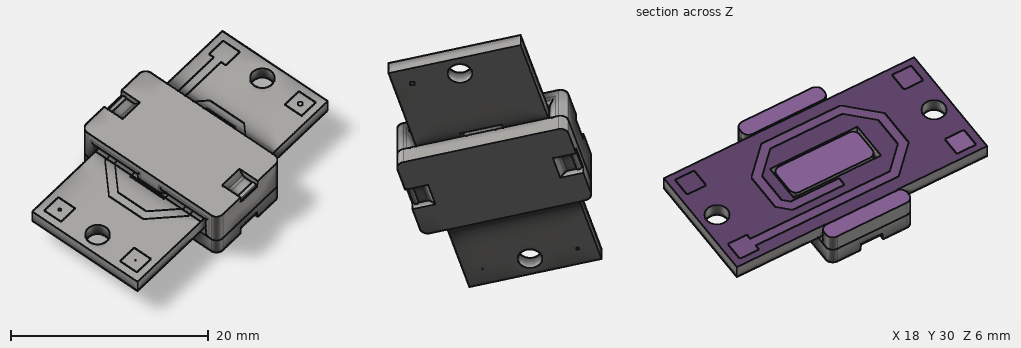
import cadquery as cq
import math

CORE_LENGTH = 18.0
CORE_DEPTH = 10.0
CORE_HEIGHT = 6.0
CORE_CENTRE_Y = 0.1
PARTING_Z = 2.0
EDGE_RADIUS = 0.85

CENTRE_LEG_HALF = 2.0
WINDOW_OUTER = 7.02
CEILING_Z = 4.02
MOUTH_TOP_Z = 5.2
MOUTH_DRAFT = 6.0

RECESS_WIDTH = 2.73
RECESS_FLOOR_WIDTH = 2.55
RECESS_LENGTH = 2.43
RECESS_DEPTH = 0.72
RECESS_WALL_RUN = 0.48
RECESS_WALL_DROP = 0.57
RECESS_FILLET_RUN = 0.27
LIP_START = 0.7
LIP_END = 0.27
LIP_HEIGHT = 0.15
LEDGE_WIDTH = 0.12
LEDGE_DEPTH = 0.85

BOARD_WIDTH = 13.92
BOARD_LENGTH = 30.0
BOARD_X = -0.05
BOARD_BOTTOM_Z = 2.4
BOARD_TOP_Z = 3.95
SLOT_WIDTH = 4.45
SLOT_LENGTH = 10.4
MOUNTING_DIAMETER = 2.5
TERMINAL_Y = 13.0

FILM_LENGTH = 10.05

COPPER_THICKNESS = 0.05
COPPER_BOTTOM_Z = BOARD_TOP_Z - COPPER_THICKNESS
COPPER_MIDDLE_Z = BOARD_TOP_Z - COPPER_THICKNESS / 2
PAD_X = 5.0
PAD_SIZE = 2.22
VIA_PADS = [(PAD_X, TERMINAL_Y, 0.5), (-PAD_X, -TERMINAL_Y, 0.3), (PAD_X, -TERMINAL_Y, 0.08)]
TRACK_WIDTH = 0.95
COIL_FRONT_Y = -8.0
COIL_BACK_Y = 6.93
COIL_FRONT_HALF = 2.07
COIL_BACK_HALF = 2.07
COIL_INNER_X = -3.03
COIL_INNER_END_Y = 0.0


def box(x_size, y_size, z_bottom, z_top, x=0.0, y=0.0):
    """Box centred on (x, y) between two heights."""
    height = z_top - z_bottom
    return cq.Workplane("XY").box(x_size, y_size, height, centered=(True, True, False)).translate(
        (x, y, z_bottom)
    )


def cylinder(diameter, z_bottom, z_top, x, y):
    """Upright cylinder between two heights."""
    return cq.Workplane("XY", origin=(x, y, z_bottom)).circle(diameter / 2).extrude(z_top - z_bottom)


def core_block(z_bottom, z_top):
    """Rounded block of the core footprint, centred on the origin in X and Y."""
    return box(CORE_LENGTH, CORE_DEPTH, z_bottom, z_top).edges("|Z").fillet(EDGE_RADIUS)


def window():
    """Void right of the centre leg, with rounded mouths at the front and back faces."""
    front = -CORE_DEPTH / 2
    radius = EDGE_RADIUS
    diagonal = radius * math.sqrt(0.5)
    inner_mouth = CENTRE_LEG_HALF - radius
    outer_mouth = WINDOW_OUTER + radius

    plan = (
        cq.Workplane("XY", origin=(0, 0, PARTING_Z))
        .moveTo(inner_mouth, front)
        .threePointArc(
            (inner_mouth + diagonal, front + radius - diagonal), (CENTRE_LEG_HALF, front + radius)
        )
        .lineTo(CENTRE_LEG_HALF, -front - radius)
        .threePointArc((inner_mouth + diagonal, -front - radius + diagonal), (inner_mouth, -front))
        .lineTo(outer_mouth, -front)
        .threePointArc(
            (outer_mouth - diagonal, -front - radius + diagonal), (WINDOW_OUTER, -front - radius)
        )
        .lineTo(WINDOW_OUTER, front + radius)
        .threePointArc((outer_mouth - diagonal, front + radius - diagonal), (outer_mouth, front))
        .close()
        .extrude(CORE_HEIGHT)
    )

    draft = math.radians(MOUTH_DRAFT)
    middle = (draft + math.pi / 2) / 2
    axis_z = CEILING_Z + radius
    strip_bottom_z = axis_z - radius * math.sin(draft)
    strip_run = (MOUTH_TOP_Z - strip_bottom_z) * math.tan(draft)
    axis_y = front + strip_run + radius * math.cos(draft)
    middle_y = axis_y - radius * math.cos(middle)
    middle_z = axis_z - radius * math.sin(middle)
    section = (
        cq.Workplane("YZ")
        .moveTo(front, PARTING_Z)
        .lineTo(front, MOUTH_TOP_Z)
        .lineTo(front + strip_run, strip_bottom_z)
        .threePointArc((middle_y, middle_z), (axis_y, CEILING_Z))
        .lineTo(-axis_y, CEILING_Z)
        .threePointArc((-middle_y, middle_z), (-front - strip_run, strip_bottom_z))
        .lineTo(-front, MOUTH_TOP_Z)
        .lineTo(-front, PARTING_Z)
        .close()
        .extrude(CORE_LENGTH / 2)
    )
    return plan.intersect(section)


def clip_recess():
    """Void for a clip in the top edge of the +X core end."""
    end = CORE_LENGTH / 2
    top = CORE_HEIGHT
    floor_z = top - RECESS_DEPTH
    wall_top_x = end - RECESS_LENGTH
    wall_foot_x = wall_top_x + RECESS_WALL_RUN
    wall_foot_z = top - RECESS_WALL_DROP
    profile = (
        cq.Workplane("XZ")
        .moveTo(wall_top_x, top)
        .lineTo(wall_foot_x, wall_foot_z)
        .tangentArcPoint((wall_foot_x + RECESS_FILLET_RUN, floor_z), relative=False)
        .lineTo(end - LIP_START, floor_z)
        .threePointArc(
            (end - (LIP_START + LIP_END) / 2, floor_z + LIP_HEIGHT),
            (end - LIP_END, floor_z + LIP_HEIGHT / 2),
        )
        .lineTo(end - LEDGE_WIDTH, top - LEDGE_DEPTH)
        .lineTo(end, top - LEDGE_DEPTH)
        .lineTo(end, top)
        .close()
        .extrude(RECESS_WIDTH / 2, both=True)
    )
    tapered = (
        cq.Workplane("YZ")
        .polyline(
            [
                (-RECESS_WIDTH / 2, top),
                (RECESS_WIDTH / 2, top),
                (RECESS_FLOOR_WIDTH / 2, top - LEDGE_DEPTH),
                (-RECESS_FLOOR_WIDTH / 2, top - LEDGE_DEPTH),
            ]
        )
        .close()
        .extrude(end)
    )
    return profile.intersect(tapered)


def upper_core():
    """E-shaped half: three legs pointing down and a clip recess at each end."""
    core = core_block(PARTING_Z, CORE_HEIGHT)
    for void in (window(), clip_recess()):
        core = core.cut(void).cut(void.mirror("YZ"))
    return core.translate((0, CORE_CENTRE_Y, 0))


def lower_core():
    """Flat half with clip recesses in its underside."""
    core = core_block(0, PARTING_Z)
    recess = clip_recess().mirror("XY").translate((0, 0, CORE_HEIGHT))
    core = core.cut(recess).cut(recess.mirror("YZ"))
    return core.translate((0, CORE_CENTRE_Y, 0))


def pad_plate(x, y):
    """Square copper pad flush with the top of the board."""
    return box(PAD_SIZE, PAD_SIZE, COPPER_BOTTOM_Z, BOARD_TOP_Z, x, y)


def terminal_pad(x, y, via_diameter):
    """Pad with a via that runs down through the board."""
    return pad_plate(x, y).union(cylinder(via_diameter, BOARD_BOTTOM_Z, BOARD_TOP_Z, x, y))


def coil_track():
    """Pad and the spiral track that winds from it around the centre leg."""
    front_chamfer = PAD_X - COIL_FRONT_HALF
    back_chamfer = PAD_X - COIL_BACK_HALF
    inner_chamfer = -COIL_BACK_HALF - COIL_INNER_X
    centre_line = [
        (-PAD_X, TERMINAL_Y),
        (-PAD_X, COIL_FRONT_Y + front_chamfer),
        (-COIL_FRONT_HALF, COIL_FRONT_Y),
        (COIL_FRONT_HALF, COIL_FRONT_Y),
        (PAD_X, COIL_FRONT_Y + front_chamfer),
        (PAD_X, COIL_BACK_Y - back_chamfer),
        (COIL_BACK_HALF, COIL_BACK_Y),
        (-COIL_BACK_HALF, COIL_BACK_Y),
        (COIL_INNER_X, COIL_BACK_Y - inner_chamfer),
        (COIL_INNER_X, COIL_INNER_END_Y),
    ]
    start_section = cq.Workplane("XZ", origin=(-PAD_X, TERMINAL_Y, COPPER_MIDDLE_Z))
    track = start_section.rect(TRACK_WIDTH, COPPER_THICKNESS).sweep(
        cq.Workplane("XY", origin=(0, 0, COPPER_MIDDLE_Z)).polyline(centre_line),
        transition="right",
    )
    return track.union(pad_plate(-PAD_X, TERMINAL_Y))


def bare_board():
    """Board with the slot for the centre leg and both mounting holes."""
    board = box(BOARD_WIDTH, BOARD_LENGTH, BOARD_BOTTOM_Z, BOARD_TOP_Z)
    board = board.cut(box(SLOT_WIDTH, SLOT_LENGTH, BOARD_BOTTOM_Z, BOARD_TOP_Z))
    for y in (-TERMINAL_Y, TERMINAL_Y):
        board = board.cut(cylinder(MOUNTING_DIAMETER, BOARD_BOTTOM_Z, BOARD_TOP_Z, 0, y))
    return board


def insulating_film():
    """Plain sheet that covers the board inside the core."""
    return box(BOARD_WIDTH, FILM_LENGTH, BOARD_TOP_Z, CEILING_Z)


core_top = upper_core()
core_bottom = lower_core()

coil = coil_track()
pads = [terminal_pad(x, y, via_diameter) for x, y, via_diameter in VIA_PADS]
board = bare_board().cut(coil)
for pad in pads:
    board = board.cut(pad)

board_shift = (BOARD_X, 0, 0)
board = board.translate(board_shift)
coil = coil.translate(board_shift)
pads = [pad.translate(board_shift) for pad in pads]

film = insulating_film().translate(board_shift).cut(core_top)

result = cq.Compound.makeCompound(
    [
        core_top.val(),
        core_bottom.val(),
        board.val(),
        film.val(),
        coil.val(),
        *[pad.val() for pad in pads],
    ]
)